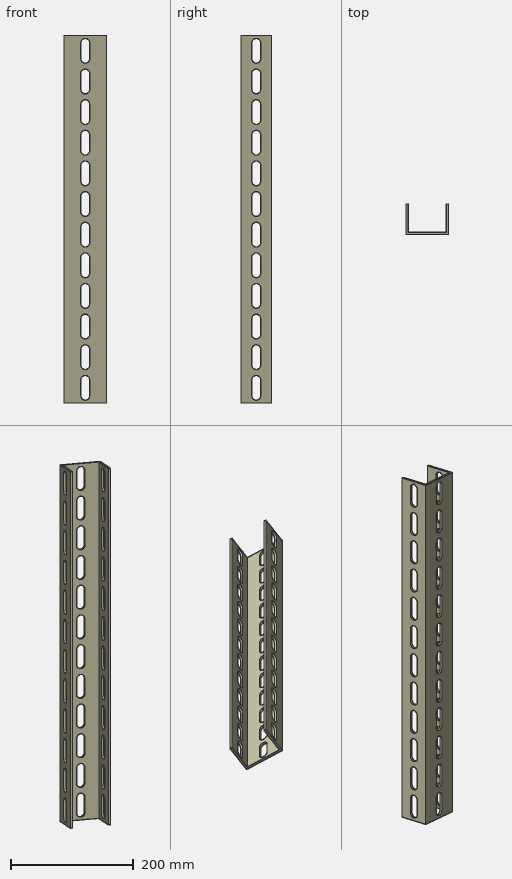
import cadquery as cq

width = 70.0
depth = 50.0
length = 600.0
thickness = 4.0

slot_count = 12
slot_pitch = length / slot_count
slot_length = 40.0
slot_width = 14.0


def channel():
    """U-section with its web on the -Y side and flanges opening toward +Y."""
    outer = cq.Workplane("XY").box(width, depth, length)
    cavity = cq.Workplane("XY").box(width - 2 * thickness, depth, length).translate((0, thickness, 0))
    return outer.cut(cavity)


def slot_row(plane, cut_depth):
    """Row of lengthwise slots on a plane, cut equally to both sides of it."""
    return (
        cq.Workplane(plane)
        .rarray(1, slot_pitch, 1, slot_count)
        .slot2D(slot_length, slot_width, 90)
        .extrude(cut_depth / 2, both=True)
    )


web_slots = slot_row("XZ", 2 * depth)
flange_slots = slot_row("YZ", 2 * width)

result = channel().cut(web_slots).cut(flange_slots)